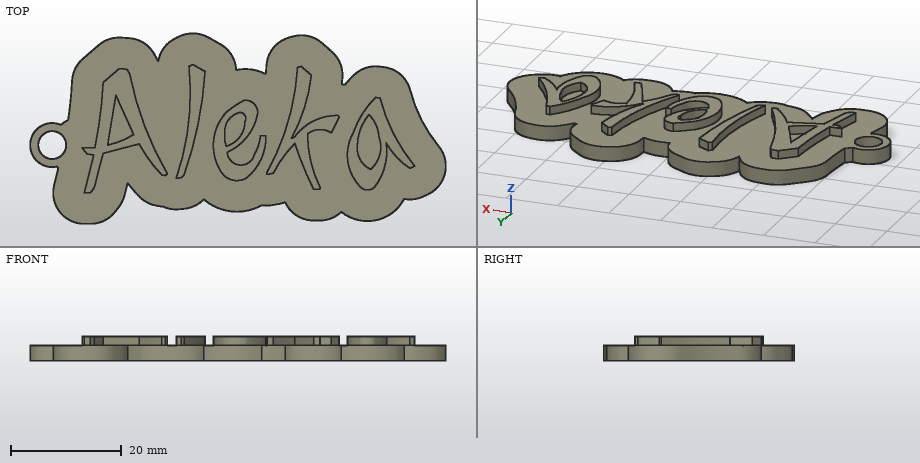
import cadquery as cq


TOTAL_HEIGHT = 4.4
PLATE_THICKNESS = 2.8
LETTER_HEIGHT = TOTAL_HEIGHT - PLATE_THICKNESS
MARGIN = 5.65
RING_HOLE_DIAMETER = 5.0
RING_WALL = 1.5
RING_DIAMETER = RING_HOLE_DIAMETER + 2 * RING_WALL

A_OUTLINE = [
    [(9.2, 11.3)],
    [(12.1, 13.8)],
    [(13.5, 13.7)],
    [(14.0, 12.8)],
    [(16.4, 4.2), (20.8, -5.2)],
    [(20.4, -5.5)],
    [(19.8, -5.4)],
    [(17.6, -2.8), (15.7, 0.2)],
    [(12.6, -0.6), (9.2, -1.5)],
    [(8.3, -4.9), (7.6, -7.7)],
    [(6.9, -8.6)],
    [(5.8, -8.6)],
    [(7.5, -1.8)],
    [(6.3, -1.6)],
    [(5.4, -0.5)],
    [(7.7, -0.5)],
    [(8.8, 6.4), (9.2, 11.3)],
]
A_OPENING = [
    [(11.5, 9.0)],
    [(14.7, 1.9)],
    [(12.6, 0.8), (10.0, 0.0)],
    [(11.5, 9.0)],
]
L_OUTLINE = [
    [(24.7, 14.2)],
    [(25.4, 14.55)],
    [(27.6, 13.3)],
    [(26.5, 4.6), (23.8, -5.4)],
    [(23.3, -5.9)],
    [(22.4, -6.0)],
    [(24.7, 4.6), (24.7, 14.2)],
]
E_OUTLINE = [
    [(38.6, 1.7)],
    [(37.5, -3.0), (35.0, -6.0)],
    [(33.1, -6.4), (30.9, -5.4)],
    [(29.1, -0.3), (31.4, 5.9)],
    [(33.0, 7.1), (34.7, 8.1)],
    [(36.5, 7.4), (37.1, 5.7)],
    [(35.2, 1.5), (31.6, -1.3)],
    [(33.8, -3.6), (36.5, -1.7)],
    [(37.2, -0.2), (37.6, 1.7)],
    [(38.6, 1.7)],
]
E_OPENING = [
    [(31.4, -0.2)],
    [(31.1, 1.9), (31.4, 3.8)],
    [(32.6, 5.3), (33.9, 5.9)],
    [(34.7, 5.5), (34.8, 4.2)],
    [(33.9, 1.5), (31.4, -0.2)],
]
K_OUTLINE = [
    [(44.3, 14.0)],
    [(45.0, 14.2)],
    [(46.8, 12.6)],
    [(45.8, 7.6), (43.2, 1.2)],
    [(43.7, 1.4)],
    [(46.9, 4.2), (49.7, 5.2)],
    [(51.6, 5.4)],
    [(51.8, 5.0)],
    [(50.4, 2.2)],
    [(48.2, 2.8), (46.1, 2.0)],
    [(46.7, -3.0), (48.4, -7.7)],
    [(48.3, -8.0)],
    [(47.2, -8.0)],
    [(45.6, -4.5), (43.8, 0.3)],
    [(41.4, -2.6), (39.9, -5.1)],
    [(38.8, -5.3)],
    [(38.7, -5.1)],
    [(42.6, 4.2), (44.3, 14.0)],
]
SMALL_A_OUTLINE = [
    [(58.4, 8.6)],
    [(59.2, 8.5)],
    [(61.4, 2.5), (65.45, -3.8)],
    [(64.6, -4.2)],
    [(62.4, -2.4), (60.3, 0.4)],
    [(60.1, -3.7), (58.2, -7.6)],
    [(56.9, -8.1), (55.4, -7.3)],
    [(53.3, -1.8), (54.4, 2.3)],
    [(56.3, 6.1), (58.4, 8.6)],
]
SMALL_A_OPENING = [
    [(57.2, 5.5)],
    [(58.4, 3.8), (59.0, 1.5)],
    [(59.0, -2.2), (57.5, -4.4)],
    [(56.0, -3.2), (55.1, 0.0)],
    [(55.6, 2.7), (57.2, 5.5)],
]

LETTERS = [
    (A_OUTLINE, [A_OPENING]),
    (L_OUTLINE, []),
    (E_OUTLINE, [E_OPENING]),
    (K_OUTLINE, []),
    (SMALL_A_OUTLINE, [SMALL_A_OPENING]),
]


def closed_outline(steps, base_height=0):
    """Draw a closed wire of straight edges and arcs at the given height."""
    start = steps[0][0]
    wire = cq.Workplane("XY").workplane(offset=base_height).moveTo(*start)
    for step in steps[1:]:
        if len(step) == 2:
            wire = wire.threePointArc(*step)
        else:
            wire = wire.lineTo(*step[0])
    return wire.wire() if steps[-1][-1] == start else wire.close()


def plate_under(outline):
    """Make the part of the plate that surrounds one letter."""
    return closed_outline(outline).offset2D(MARGIN, "arc").extrude(PLATE_THICKNESS)


def raised_letter(outline, openings):
    """Make one letter standing on top of the plate."""
    letter = closed_outline(outline, PLATE_THICKNESS).extrude(LETTER_HEIGHT)
    for opening in openings:
        letter = letter.cut(closed_outline(opening, PLATE_THICKNESS).extrude(LETTER_HEIGHT))
    return letter


def build_plate():
    """Join the letter surrounds and the key ring eye, then cut the ring hole."""
    plate = cq.Workplane("XY").circle(RING_DIAMETER / 2).extrude(PLATE_THICKNESS)
    for outline, _ in LETTERS:
        plate = plate.union(plate_under(outline))
    ring_hole = cq.Workplane("XY").circle(RING_HOLE_DIAMETER / 2).extrude(PLATE_THICKNESS)
    return plate.cut(ring_hole)


def build_name_tag():
    """Stand every letter on the plate."""
    tag = build_plate()
    for outline, openings in LETTERS:
        tag = tag.union(raised_letter(outline, openings))
    return tag


result = build_name_tag()